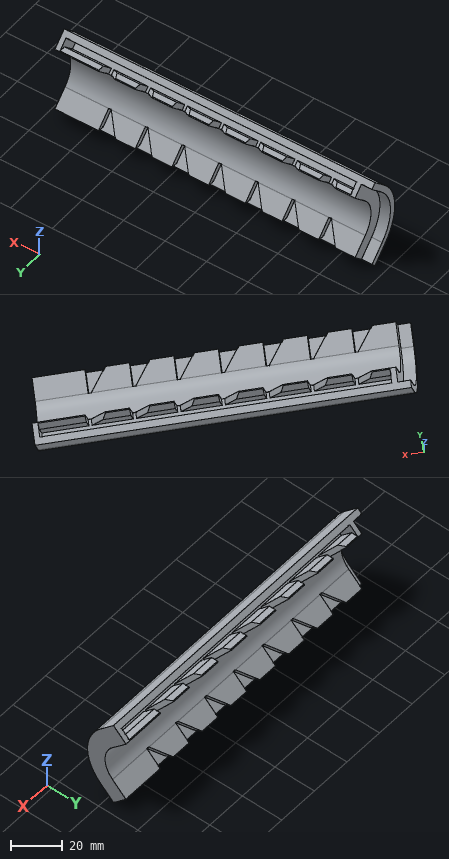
import cadquery as cq
import math

length = 150.0
height = 44.8
outer_radius = 22.0
skin_thickness = 3.0
slot_width = 3.5
lip_thickness = 2.5
skin_overhang = 5.1
end_wall = 2.4
lip_chamfer = 2.1
first_notch_end = 22.6
notch_pitch = 17.7
notch_count = 7
notch_width = 8.1

diagonal = math.sqrt(0.5)
arm_length = height / 2 / diagonal - outer_radius
slot_depth = arm_length
notch_slant = slot_depth * diagonal
slot_radius = outer_radius - skin_thickness
lip_radius = slot_radius - slot_width
inner_radius = lip_radius - lip_thickness
slot_start = skin_overhang + end_wall
slot_end = length - end_wall

upper_arm = cq.Plane(origin=(0, 0, 0), xDir=(1, 0, 0), normal=(0, -diagonal, diagonal))


def arm_point(along, out):
    """Y, Z position of a point of the upper arm."""
    return ((along - out) * diagonal, (along + out) * diagonal)


def mirrored(point):
    """Matching Y, Z position on the lower arm."""
    return (point[0], -point[1])


def bent_layer(radius_in, radius_out, start):
    """Quarter bend with two straight arms, from X = start to the +X end."""
    return (
        cq.Workplane("YZ", origin=(start, 0, 0))
        .moveTo(*arm_point(arm_length, radius_out))
        .lineTo(*arm_point(0, radius_out))
        .threePointArc((-radius_out, 0), mirrored(arm_point(0, radius_out)))
        .lineTo(*mirrored(arm_point(arm_length, radius_out)))
        .lineTo(*mirrored(arm_point(arm_length, radius_in)))
        .lineTo(*mirrored(arm_point(0, radius_in)))
        .threePointArc((-radius_in, 0), arm_point(0, radius_in))
        .lineTo(*arm_point(arm_length, radius_in))
        .close()
        .extrude(length - start)
    )


def slot_cut():
    """Panel slot in the upper arm, with the chamfered lead-in of its lip."""
    return (
        cq.Workplane("YZ", origin=(slot_start, 0, 0))
        .polyline([
            arm_point(arm_length - slot_depth, slot_radius),
            arm_point(arm_length, slot_radius),
            arm_point(arm_length, lip_radius - lip_chamfer),
            arm_point(arm_length - lip_chamfer, lip_radius),
            arm_point(arm_length - slot_depth, lip_radius),
        ])
        .close()
        .extrude(slot_end - slot_start)
    )


def notch_cut(square_side):
    """Notch through the upper lip: square on its +X side, slanted on its -X side."""
    tip_start = square_side - notch_width
    return (
        cq.Workplane(upper_arm)
        .workplane(offset=inner_radius)
        .polyline([
            (tip_start, arm_length),
            (square_side, arm_length),
            (square_side, arm_length - slot_depth),
            (tip_start + notch_slant, arm_length - slot_depth),
        ])
        .close()
        .extrude(lip_thickness)
    )


result = bent_layer(slot_radius, outer_radius, 0)
result = result.union(bent_layer(inner_radius, slot_radius, skin_overhang))

cutters = [slot_cut()]
for index in range(notch_count):
    cutters.append(notch_cut(first_notch_end + index * notch_pitch))
for cutter in cutters:
    result = result.cut(cutter).cut(cutter.mirror("XY"))